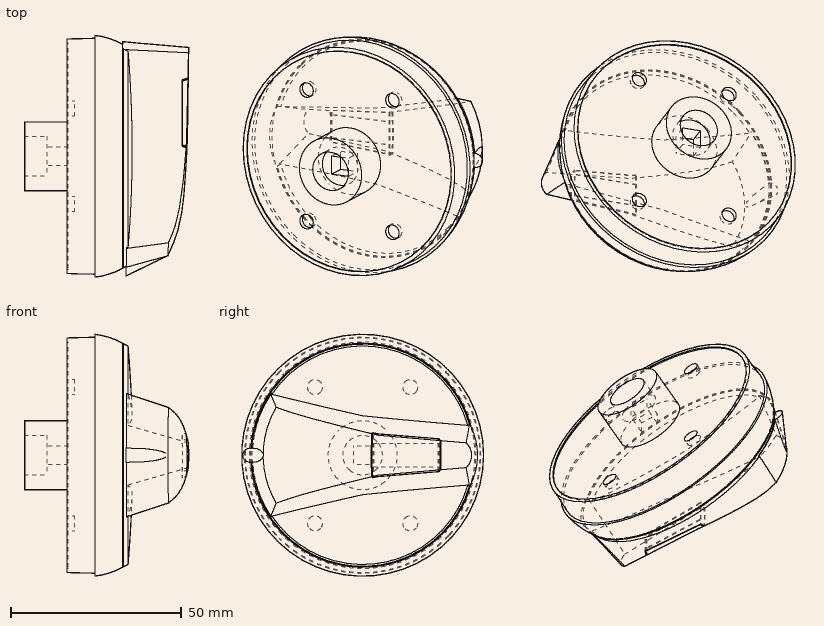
import cadquery as cq
import math

SHAFT_RADIUS = 10.15
SHAFT_LENGTH = 12.4
BORE_RADIUS = 5.8
BORE_DEPTH = 6.5
SQUARE_SIZE = 5.5
SQUARE_DEPTH = 6.0

PLATE_BACK_RADIUS = 34.5
PLATE_FRONT_RADIUS = 34.7
PLATE_THICKNESS = 8.2
RECESS_RADIUS = 33.3
RECESS_DEPTH = 0.4
SCREW_RADIUS = 2.2
SCREW_DEPTH = 1.8
SCREW_Y = 14.0
SCREW_Z = 20.0

RING_RADIUS = 35.555
GROOVE_X = 16.35
GROOVE_WIDTH = 0.25
GROOVE_DEPTH = 0.3
FLANK_MID_X = 12.6
FLANK_MID_RADIUS = 34.6
FLANK_END_RADIUS = 32.95
RIM_X = 18.0
RIM_RADIUS = 32.1
DOME_TOP_X = 19.35

FOOT_X = GROOVE_X
HEAD_X = 35.83
FOOT_PLAN = dict(nose_y=-32.95, front_y=-27.2, front_z=18.5, waist_y=-0.8, waist_z=12.6,
                 back_y=31.4, back_z=9.2, tail_y=33.75)
HEAD_PLAN = dict(nose_y=-27.5, front_y=-24.6, front_z=12.1, waist_y=4.9, waist_z=5.6,
                 back_y=30.4, back_z=3.6, tail_y=32.0)
HANDLE_FRONT_X = 17.5
LOFT_EXTRA = 2.0

RIDGE = [
    (26.3, -36.0),
    (29.7, -29.2),
    (32.7, -21.5),
    (34.4, -11.4),
    (35.3, 2.0),
    (HEAD_X, HEAD_PLAN["tail_y"]),
    (35.95, 36.0),
]
CROWN_RADIUS = 65.0
CROWN_HALF_WIDTH = 25.0
CROWN_CUT_HEIGHT = 20.0

LABEL_FLOOR_X = 33.9
LABEL_FRONT_Y = 3.0
LABEL_BACK_Y = 22.4
LABEL_FLARE = 0.7
LABEL_GAP = 0.3
LABEL_FLOOR_GAP = 0.2
LABEL_STEM_HALF_WIDTH = 3.5

POINTER_RADIUS = 2.1
POINTER_FOOT_X = 17.3
POINTER_FOOT_Y = -35.2
POINTER_TIP_X = 29.4
POINTER_TIP_Y = -29.3
POINTER_RUN_IN = 1.0


def make_shaft_and_plate():
    plate_profile = [
        (0, 0),
        (0, PLATE_BACK_RADIUS),
        (PLATE_THICKNESS, PLATE_FRONT_RADIUS),
        (PLATE_THICKNESS, 0),
    ]
    plate = cq.Workplane("XY").polyline(plate_profile).close().revolve(360, (0, 0), (1, 0))
    recess = cq.Workplane("YZ").circle(RECESS_RADIUS).extrude(RECESS_DEPTH)
    shaft = cq.Workplane("YZ", origin=(-SHAFT_LENGTH, 0, 0)).circle(SHAFT_RADIUS)
    shaft = shaft.extrude(SHAFT_LENGTH + PLATE_THICKNESS)
    return plate.cut(recess).union(shaft)


def make_dial():
    dome_mid_x = DOME_TOP_X - (DOME_TOP_X - RIM_X) / 4
    profile = (
        cq.Workplane("XY")
        .moveTo(PLATE_THICKNESS, 0)
        .lineTo(PLATE_THICKNESS, RING_RADIUS)
        .threePointArc((FLANK_MID_X, FLANK_MID_RADIUS), (GROOVE_X, FLANK_END_RADIUS))
        .lineTo(RIM_X, RIM_RADIUS)
        .threePointArc((dome_mid_x, RIM_RADIUS / 2), (DOME_TOP_X, 0))
        .close()
    )
    dial = profile.revolve(360, (0, 0), (1, 0))
    groove = (
        cq.Workplane("YZ", origin=(GROOVE_X, 0, 0))
        .circle(RING_RADIUS)
        .circle(FLANK_END_RADIUS - GROOVE_DEPTH)
        .extrude(GROOVE_WIDTH)
    )
    return dial.cut(groove)


def plan_outline(x):
    """Closed handle outline at height x, blended between the foot and the head plans."""
    share = (x - FOOT_X) / (HEAD_X - FOOT_X)
    p = {name: FOOT_PLAN[name] + share * (HEAD_PLAN[name] - FOOT_PLAN[name]) for name in FOOT_PLAN}
    outline = (
        cq.Workplane("YZ", origin=(x, 0, 0))
        .moveTo(p["front_y"], p["front_z"])
        .lineTo(p["waist_y"], p["waist_z"])
        .lineTo(p["back_y"], p["back_z"])
        .threePointArc((p["tail_y"], 0), (p["back_y"], -p["back_z"]))
        .lineTo(p["waist_y"], -p["waist_z"])
        .lineTo(p["front_y"], -p["front_z"])
        .threePointArc((p["nose_y"], 0), (p["front_y"], p["front_z"]))
        .close()
    )
    return outline.val()


def make_space_above_crown():
    """Everything above the crowned top: the cross arc carried along the ridge line."""
    start_x, start_y = RIDGE[0]
    edge_x = start_x - (CROWN_RADIUS - math.sqrt(CROWN_RADIUS**2 - CROWN_HALF_WIDTH**2))
    roof_x = start_x + CROWN_CUT_HEIGHT
    section = (
        cq.Workplane("XZ", origin=(0, start_y, 0))
        .moveTo(edge_x, -CROWN_HALF_WIDTH)
        .threePointArc((start_x, 0), (edge_x, CROWN_HALF_WIDTH))
        .lineTo(roof_x, CROWN_HALF_WIDTH)
        .lineTo(roof_x, -CROWN_HALF_WIDTH)
        .close()
    )
    ridge = cq.Workplane("XY").spline(RIDGE)
    return section.sweep(ridge, normal=cq.Vector(0, 1, 0))


def make_pointer():
    run = cq.Vector(POINTER_TIP_X - POINTER_FOOT_X, POINTER_TIP_Y - POINTER_FOOT_Y, 0)
    direction = run.normalized()
    inward = cq.Vector(-direction.y, direction.x, 0)
    lead_in = 2 * POINTER_RADIUS
    start = cq.Vector(POINTER_FOOT_X, POINTER_FOOT_Y, 0) + inward * POINTER_RADIUS - direction * lead_in
    length = lead_in + run.Length + POINTER_RUN_IN
    bar = cq.Workplane(obj=cq.Solid.makeCylinder(POINTER_RADIUS, length, start, direction))
    below_foot = cq.Workplane("YZ", origin=(POINTER_FOOT_X, 0, 0)).circle(2 * RING_RADIUS)
    return bar.cut(below_foot.extrude(-2 * RING_RADIUS))


def cut_label_gaps(handle):
    """Part the label insert from the handle, leaving it standing on a stem."""
    half_width = FOOT_PLAN["front_z"]
    roof_x = HEAD_X + LOFT_EXTRA
    flare = LABEL_FLARE * (roof_x - LABEL_FLOOR_X) / (HEAD_X - LABEL_FLOOR_X)
    for end_y, side in ((LABEL_FRONT_Y, -1), (LABEL_BACK_Y, 1)):
        slit = [
            (LABEL_FLOOR_X, end_y),
            (roof_x, end_y + side * flare),
            (roof_x, end_y + side * (flare - LABEL_GAP)),
            (LABEL_FLOOR_X, end_y - side * LABEL_GAP),
        ]
        handle = handle.cut(cq.Workplane("XY").polyline(slit).close().extrude(half_width, both=True))

    for z in (LABEL_STEM_HALF_WIDTH, -LABEL_STEM_HALF_WIDTH):
        floor_gap = (
            cq.Workplane("XY", origin=(LABEL_FLOOR_X, (LABEL_FRONT_Y + LABEL_BACK_Y) / 2, z))
            .rect(LABEL_FLOOR_GAP, LABEL_BACK_Y - LABEL_FRONT_Y)
            .extrude(math.copysign(half_width, z))
        )
        handle = handle.cut(floor_gap)
    return handle


def make_handle():
    wires = [plan_outline(FOOT_X), plan_outline(HEAD_X + LOFT_EXTRA)]
    handle = cq.Workplane(obj=cq.Solid.makeLoft(wires, True))
    front_clearance = (
        cq.Workplane("XY")
        .moveTo(FOOT_X, 0)
        .rect(HANDLE_FRONT_X - FOOT_X, -RING_RADIUS, centered=False)
        .extrude(RING_RADIUS, both=True)
    )
    handle = handle.cut(front_clearance).union(make_pointer())
    return cut_label_gaps(handle.cut(make_space_above_crown()))


def cut_bores(body):
    shaft_end = cq.Workplane("YZ", origin=(-SHAFT_LENGTH, 0, 0))
    bore = shaft_end.circle(BORE_RADIUS).extrude(BORE_DEPTH)
    square = shaft_end.rect(SQUARE_SIZE, SQUARE_SIZE).extrude(BORE_DEPTH + SQUARE_DEPTH)
    screw_holes = (
        cq.Workplane("YZ")
        .rect(2 * SCREW_Y, 2 * SCREW_Z, forConstruction=True)
        .vertices()
        .circle(SCREW_RADIUS)
        .extrude(RECESS_DEPTH + SCREW_DEPTH)
    )
    return body.cut(bore).cut(square).cut(screw_holes)


body = make_shaft_and_plate().union(make_dial()).union(make_handle())
result = cut_bores(body)